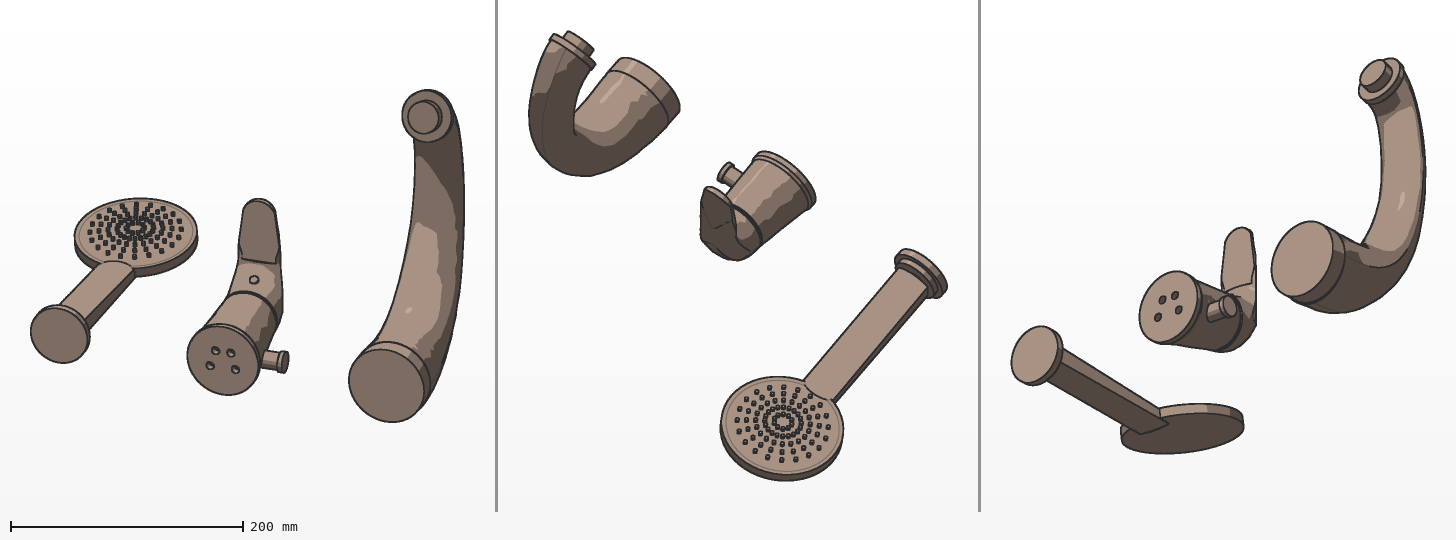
import cadquery as cq
import math

PITCH = 149.5

HOLDER_DISC_R = 26.0
HOLDER_DISC_END = 7.0
HOLDER_STEP_R = 21.0
HOLDER_STEP_END = 12.5
HOLDER_NECK_R = 10.5
HOLDER_END = 14.3

HEAD_R = 53.0
HEAD_RIM_HEIGHT = 9.0
HEAD_BACK_RISE = 9.3
HEAD_FACE_R = 49.0
HEAD_FACE_RISE = 4.5
HEAD_Y = 199.0
HEAD_Z = 7.5
HEAD_TILT = 9.5
NOZZLE_COUNTS = (10, 20, 20, 20, 20)
NOZZLE_OUTER_RING_R = 39.5
NOZZLE_R = 1.5
NOZZLE_HEIGHT = 2.5

HANDLE_TIP_Y = 162.5

FLANGE_R = 32.5
FLANGE_RIM_END = 5.5
FLANGE_END = 8.5
BODY_ROOT_R = 31.0
BODY_END_R = 25.5
JOINT_TILT = 6.5
BODY_END_Y = 66.5
BODY_END_Z = 10.5
GROOVE_R = 23.5
GROOVE_WIDTH = 2.7
HOLE_R = 3.5
HOLE_DEPTH = 7.7
HOLE_PLACES = ((-6.5, 8.5), (7.5, 8.5), (-11.5, -6.5), (11.5, -6.5))
OUTLET_Y = 24.7
OUTLET_Z = -5.0
OUTLET_R = 7.7
OUTLET_CAP_R = 9.3
OUTLET_CAP_START = 44.0
OUTLET_END = 48.5

LEVER_FRONT_Y = 94.0
LEVER_FRONT_Z = 52.5
LEVER_HUB_Y = 79.2
LEVER_BACK_DEPTH = 24.7
LEVER_TOP_Z = 109.8
LEVER_SHOULDER_Z = 100.5
LEVER_TOP_HALF_WIDTH = 14.3
LEVER_FOOT_Z = -23.0
LEVER_FOOT_HALF_WIDTH = 30.5
BUTTON_R = 4.0
BUTTON_Y = 82.0
BUTTON_Z = 39.5
BUTTON_TILT = 30.0
BUTTON_PROUD = 1.5

SPOUT_BASE_R = 34.5
SPOUT_COLLAR_END = 16.2
SPOUT_TIP_Y = 104.5
SPOUT_TIP_Z = 210.3
SPOUT_TIP_TILT = 17.5
SPOUT_RIM_R = 22.5
SPOUT_RIM_WIDTH = 5.8
SPOUT_NECK_R = 21.3
NOSE_R = 14.0
NOSE_LENGTH = 9.3


def disc(radius, start, end, x=0.0):
    """A cylinder standing out from the wall, from Y = start to Y = end."""
    plane = cq.Plane(origin=(x, start, 0), xDir=(1, 0, 0), normal=(0, 1, 0))
    return cq.Workplane(plane).circle(radius).extrude(end - start)


def tilted_plane(x, y, z, tilt):
    """A plane facing +Z that leans by tilt degrees toward the wall (-Y)."""
    angle = math.radians(tilt)
    return cq.Plane(origin=(x, y, z), xDir=(1, 0, 0), normal=(0, -math.sin(angle), math.cos(angle)))


def oval_wire(x, front, back, half_width):
    """An ellipse across the YZ plane, between a front and a back (y, z) point."""
    dy = back[0] - front[0]
    dz = back[1] - front[1]
    middle = cq.Vector(x, (front[0] + back[0]) / 2, (front[1] + back[1]) / 2)
    normal = cq.Vector(0, -dz, dy)
    half_depth = math.hypot(dy, dz) / 2
    return cq.Wire.makeEllipse(half_width, half_depth, middle, normal, cq.Vector(1, 0, 0))


def oval_loft(x, stations):
    """A smooth solid through ovals listed as (front point, back point, half width)."""
    wires = [oval_wire(x, front, back, half_width) for front, back, half_width in stations]
    return cq.Workplane(cq.Solid.makeLoft(wires))


def make_shower_holder():
    """The stepped wall disc whose neck meets the end of the handle."""
    holder = disc(HOLDER_DISC_R, 0, HOLDER_DISC_END, -PITCH)
    holder = holder.union(disc(HOLDER_STEP_R, HOLDER_DISC_END, HOLDER_STEP_END, -PITCH))
    return holder.union(disc(HOLDER_NECK_R, HOLDER_STEP_END, HOLDER_END, -PITCH))


def handle_section(y, half_width, bottom, side_bottom, side_top, top):
    """A section across the handle: straight sides, arched top and bottom."""
    plane = cq.Plane(origin=(-PITCH, y, 0), xDir=(1, 0, 0), normal=(0, -1, 0))
    return (
        cq.Workplane(plane)
        .moveTo(-half_width, side_bottom)
        .threePointArc((0, bottom), (half_width, side_bottom))
        .lineTo(half_width, side_top)
        .threePointArc((0, top), (-half_width, side_top))
        .close()
        .val()
    )


def make_handle():
    """A straight loft from the holder neck to a tip buried inside the head."""
    root = handle_section(HOLDER_END, half_width=16.0, bottom=-11.5, side_bottom=-6.0, side_top=8.5, top=13.5)
    tip = handle_section(HANDLE_TIP_Y, half_width=16.2, bottom=-12.8, side_bottom=-11.2, side_top=-2.7, top=0.0)
    return cq.Workplane(cq.Solid.makeLoft([root, tip], True))


def face_rise(radius):
    """Height of the domed spray face above the rim at a distance from the centre."""
    sphere_r = (HEAD_FACE_R**2 + HEAD_FACE_RISE**2) / (2 * HEAD_FACE_RISE)
    return math.sqrt(sphere_r**2 - radius**2) - (sphere_r - HEAD_FACE_RISE)


def make_head():
    """A rim with a shallow domed back and a shallower domed face, on its tilted axis."""
    half_face = HEAD_FACE_R / 2
    half_back = HEAD_R / 2
    back_z = -HEAD_RIM_HEIGHT - HEAD_BACK_RISE
    back_sphere_r = (HEAD_R**2 + HEAD_BACK_RISE**2) / (2 * HEAD_BACK_RISE)
    half_back_z = back_z + back_sphere_r - math.sqrt(back_sphere_r**2 - half_back**2)
    face_plane = tilted_plane(-PITCH, HEAD_Y, HEAD_Z, HEAD_TILT)
    profile_plane = cq.Plane(origin=face_plane.origin, xDir=face_plane.xDir, normal=-face_plane.yDir)
    head = (
        cq.Workplane(profile_plane)
        .moveTo(0, back_z)
        .threePointArc((half_back, half_back_z), (HEAD_R, -HEAD_RIM_HEIGHT))
        .lineTo(HEAD_R, 0)
        .lineTo(HEAD_FACE_R, 0)
        .threePointArc((half_face, face_rise(half_face)), (0, HEAD_FACE_RISE))
        .close()
        .revolve(360, (0, 0, 0), (0, 1, 0))
    )
    return head, face_plane


def make_nozzles(face_plane):
    """Rings of small round nozzles standing on the spray face."""
    nozzles = []
    for ring, count in enumerate(NOZZLE_COUNTS, start=1):
        radius = NOZZLE_OUTER_RING_R * ring / len(NOZZLE_COUNTS)
        height = face_rise(radius) + NOZZLE_HEIGHT
        pins = cq.Workplane(face_plane).polarArray(radius, 90, 360, count).circle(NOZZLE_R)
        nozzles.extend(pins.extrude(height).vals()[0].Solids())
    return nozzles


def make_hand_shower():
    """Handle, head and nozzles in one piece."""
    head, face_plane = make_head()
    shower = make_handle().union(head)
    return cq.Workplane(shower.val().fuse(*make_nozzles(face_plane)))


def joint_plane(clearance):
    """The leaning plane across the end of the mixer body, moved outward by a clearance."""
    angle = math.radians(JOINT_TILT)
    axis = cq.Vector(0, math.cos(angle), math.sin(angle))
    end = cq.Vector(0, BODY_END_Y, BODY_END_Z)
    return cq.Plane(origin=end + axis * clearance, xDir=(1, 0, 0), normal=axis)


def make_mixer_body():
    """A flange and a barrel that tapers and rises to a leaning end with a grooved neck."""
    flange = disc(FLANGE_R, 0, FLANGE_END)
    flange = flange.faces(">Y").chamfer(FLANGE_END - FLANGE_RIM_END, FLANGE_R - BODY_ROOT_R)
    end = joint_plane(0)
    root_wire = cq.Wire.makeCircle(BODY_ROOT_R, cq.Vector(0, FLANGE_END, 0), cq.Vector(0, 1, 0))
    end_wire = cq.Wire.makeCircle(BODY_END_R, end.origin, end.zDir)
    barrel = cq.Workplane(cq.Solid.makeLoft([root_wire, end_wire], True))
    neck = cq.Workplane(end).circle(GROOVE_R).extrude(GROOVE_WIDTH)
    body = flange.union(barrel).union(neck).union(make_outlet())
    holes = cq.Workplane("XZ").pushPoints(HOLE_PLACES).circle(HOLE_R).extrude(-HOLE_DEPTH)
    return body.cut(holes)


def make_outlet():
    """The side hose outlet with its end collar."""
    start = cq.Workplane("YZ").center(OUTLET_Y, OUTLET_Z)
    pipe = start.circle(OUTLET_R).extrude(OUTLET_END)
    collar = start.workplane(offset=OUTLET_CAP_START).circle(OUTLET_CAP_R)
    return pipe.union(collar.extrude(OUTLET_END - OUTLET_CAP_START))


def make_lever():
    """A round hub that turns upward into a thin flat-fronted blade."""
    joint = joint_plane(GROOVE_WIDTH)
    joint_top = joint.toWorldCoords((0, -BODY_END_R))
    joint_bottom = joint.toWorldCoords((0, BODY_END_R))
    stations = [
        ((joint_top.y, joint_top.z), (joint_bottom.y, joint_bottom.z), BODY_END_R),
        ((82.0, 40.0), (97.5, 3.0), 24.7),
        ((92.0, 53.5), (104.5, 38.5), 22.5),
        ((88.0, 73.5), (103.2, 71.5), 19.5),
        ((89.5, 112.0), (99.0, 112.0), 16.5),
    ]
    lever = oval_loft(0, stations)
    outline = (
        cq.Workplane("XZ")
        .moveTo(-LEVER_FOOT_HALF_WIDTH, LEVER_FOOT_Z)
        .lineTo(-LEVER_TOP_HALF_WIDTH, LEVER_SHOULDER_Z)
        .threePointArc((0, LEVER_TOP_Z), (LEVER_TOP_HALF_WIDTH, LEVER_SHOULDER_Z))
        .lineTo(LEVER_FOOT_HALF_WIDTH, LEVER_FOOT_Z)
        .close()
        .extrude(-LEVER_TOP_Z)
    )
    height = LEVER_TOP_Z - LEVER_FOOT_Z
    plan = cq.Workplane("XY", origin=(0, LEVER_HUB_Y, LEVER_FOOT_Z))
    rounded_back = plan.ellipse(BODY_END_R, LEVER_BACK_DEPTH).extrude(height)
    straight_front = plan.rect(2 * BODY_END_R, LEVER_HUB_Y).extrude(height)
    straight_front = straight_front.translate((0, -LEVER_HUB_Y / 2, 0))
    blade_front = plan.workplane(offset=LEVER_FRONT_Z - LEVER_FOOT_Z)
    blade_front = blade_front.rect(2 * BODY_END_R, 2 * (LEVER_FRONT_Y - LEVER_HUB_Y)).extrude(height)
    button_plane = cq.Workplane(tilted_plane(0, BUTTON_Y, BUTTON_Z, BUTTON_TILT))
    button = button_plane.workplane(offset=-BUTTON_R).circle(BUTTON_R).extrude(BUTTON_R + BUTTON_PROUD)
    lever = lever.intersect(outline).intersect(straight_front.union(rounded_back))
    return lever.cut(blade_front).union(button)


def make_spout():
    """A collar on the wall, a tapering neck curving upward, a rim and a round nose."""
    tip_angle = math.radians(SPOUT_TIP_TILT)
    tip_axis = cq.Vector(0, -math.cos(tip_angle), math.sin(tip_angle))
    tip_up = cq.Vector(0, math.sin(tip_angle), math.cos(tip_angle))
    tip = cq.Vector(PITCH, SPOUT_TIP_Y, SPOUT_TIP_Z)
    rim_back = tip - tip_axis * SPOUT_RIM_WIDTH
    neck_top = rim_back + tip_up * SPOUT_NECK_R
    neck_bottom = rim_back - tip_up * SPOUT_NECK_R
    stations = [
        ((SPOUT_COLLAR_END, 34.0), (SPOUT_COLLAR_END, -36.0), SPOUT_BASE_R),
        ((36.5, 34.5), (45.0, -33.2), 33.0),
        ((67.5, 36.5), (85.8, -13.5), 30.0),
        ((94.3, 56.0), (122.5, 24.7), 27.5),
        ((111.7, 85.0), (142.0, 68.0), 24.7),
        ((123.0, 123.0), (150.5, 125.0), 22.5),
        ((122.0, 163.5), (145.5, 172.0), 21.3),
        ((118.0, 181.0), (133.0, 204.5), 21.3),
        ((neck_bottom.y, neck_bottom.z), (neck_top.y, neck_top.z), SPOUT_NECK_R),
    ]
    neck = oval_loft(PITCH, stations)
    collar = disc(SPOUT_BASE_R, 0, SPOUT_COLLAR_END, PITCH)
    rim_plane = cq.Plane(origin=rim_back, xDir=(1, 0, 0), normal=tip_axis)
    rim = cq.Workplane(rim_plane).circle(SPOUT_RIM_R).extrude(SPOUT_RIM_WIDTH)
    nose = cq.Workplane(rim_plane).circle(NOSE_R).extrude(SPOUT_RIM_WIDTH + NOSE_LENGTH)
    return collar.union(neck).union(rim).union(nose)


shower_holder = make_shower_holder()
hand_shower = make_hand_shower()
mixer_body = make_mixer_body()
mixer_lever = make_lever()
spout = make_spout()

result = cq.Compound.makeCompound(
    [shower_holder.val(), hand_shower.val(), mixer_body.val(), mixer_lever.val(), spout.val()]
)